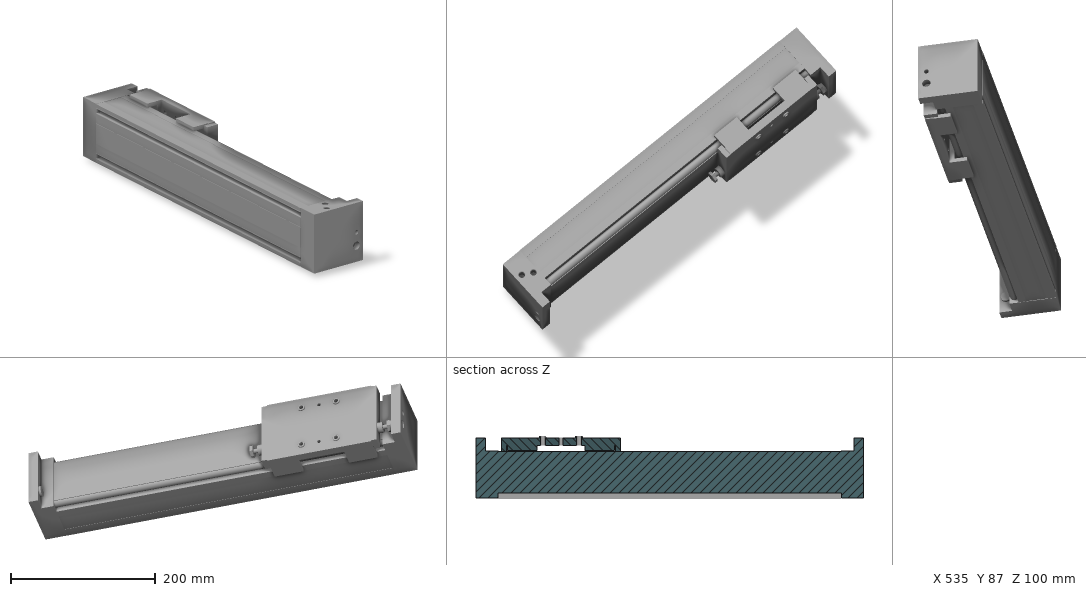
import cadquery as cq


base_length = 535.0
base_width = 88.0
mid_z = base_width / 2

cap_length = 31.0
cap_height = 84.0
cap_step_height = 66.0
upright_thickness = 13.5

band_bottom = -1.0
profile_top = 65.2
profile_length = base_length - 2 * cap_length
profile_inset = 0.3
band_height = 0.5
side_recess_depth = 0.4
profile_bottom = band_bottom + band_height
profile_low_z = profile_inset
profile_high_z = base_width - profile_inset
front_band_width = 30.4
side_recess_low = 13.0
side_recess_high = 42.0
slot_width = 7.6
slot_depth = 8.0
slot_offset = 33.8
lip_width = 0.6

guide_top = 64.3
guide_diameter = 11.4
guide_radius = guide_diameter / 2
guide_depth = 10.5
guide_y = guide_top - guide_radius
shoulder_y = guide_top - guide_diameter

stop_y = 73.8
stop_z = 24.0
stop_diameter = 15.0
pad_thickness = 3.0
stop_hole_diameter = 11.84
stop_hole_depth = 10.0
tapped_hole_y = 72.5
tapped_hole_z = mid_z
tapped_hole_diameter = 6.65
tapped_hole_depth = 10.0

port_places = [(base_length - 24.2, 37.0), (base_length - 9.8, 29.0)]
port_diameter = 8.57
port_mouth_diameter = 10.0
port_depth = 10.0
port_tip_depth = 4.0
port_chamfer = (port_mouth_diameter - port_diameter) / 2

carriage_center = 117.3
carriage_length = 150.0
carriage_overhang = 6.0
carriage_width = base_width + 2 * carriage_overhang
carriage_top = cap_height
bridge_bottom = 72.7
pad_bottom = 66.0
leg_bottom = 48.0
leg_length = 41.0
leg_offset = 53.5
end_plate_thickness = 7.6
end_plate_width = 97.0
end_plate_bottom = 65.3

sleeve_spacing_x = 50.0
sleeve_spacing_z = 66.0
sleeve_diameter = 10.0
sleeve_bore = 6.0
sleeve_height = 2.0
sleeve_chamfer = 0.5
carriage_tapped_diameter = 4.92

collar_length = 7.0
stem_diameter = 6.0
hex_length = 4.3
hex_across_flats = 15.0


def box(x_range, y_range, z_range):
    """Block between the given limits."""
    lows, highs = zip(x_range, y_range, z_range)
    sizes = [high - low for low, high in zip(lows, highs)]
    return cq.Workplane("XY").box(*sizes, centered=False).translate(lows)


def rod_x(x_start, length, y, z, diameter):
    """Cylinder along X."""
    return cq.Workplane("YZ", origin=(x_start, y, z)).circle(diameter / 2).extrude(length)


def mirror_ends(shape):
    """The shape with its copy at the other end of the base."""
    return shape.union(shape.mirror("YZ", (base_length / 2, 0, 0)))


def make_profile():
    """Extruded profile with lipped slots, a front band, side recesses and round guides."""
    x_range = (cap_length, base_length - cap_length)
    profile = box(x_range, (profile_bottom, shoulder_y), (profile_low_z, profile_high_z))
    neck = (guide_depth, base_width - guide_depth)
    profile = profile.union(box(x_range, (shoulder_y, profile_top), neck))
    for z in neck:
        profile = profile.union(rod_x(cap_length, profile_length, guide_y, z, guide_diameter))

    lip_outer_width = slot_width + 2 * lip_width
    for side in (-1, 1):
        z = mid_z + side * slot_offset
        lip_z = (z - lip_outer_width / 2, z + lip_outer_width / 2)
        profile = profile.union(box(x_range, (band_bottom, profile_bottom), lip_z))
        slot_z = (z - slot_width / 2, z + slot_width / 2)
        profile = profile.cut(box(x_range, (band_bottom, profile_bottom + slot_depth), slot_z))

    front_z = (mid_z - front_band_width / 2, mid_z + front_band_width / 2)
    profile = profile.union(box(x_range, (band_bottom, profile_bottom), front_z))
    side_y = (side_recess_low, side_recess_high)
    low_recess_z = (profile_low_z, profile_low_z + side_recess_depth)
    high_recess_z = (profile_high_z - side_recess_depth, profile_high_z)
    for recess_z in (low_recess_z, high_recess_z):
        profile = profile.cut(box(x_range, side_y, recess_z))
    return profile


def make_caps():
    """Two mirrored end caps with a raised upright and a stop pad."""
    z_range = (0, base_width)
    cap = box((0, cap_length), (0, cap_step_height), z_range)
    cap = cap.union(box((0, upright_thickness), (0, cap_height), z_range))
    cap = cap.union(rod_x(upright_thickness, pad_thickness, stop_y, stop_z, stop_diameter))
    cap = cap.cut(rod_x(0, stop_hole_depth, tapped_hole_y, stop_z, stop_hole_diameter))
    cap = cap.cut(rod_x(0, tapped_hole_depth, tapped_hole_y, tapped_hole_z, tapped_hole_diameter))
    return mirror_ends(cap)


def make_port(x, y):
    """Port cutter with a chamfered mouth and a drill tip, revolved about its axis."""
    radius = port_diameter / 2
    return (
        cq.Workplane("XZ", origin=(x, y, base_width))
        .lineTo(port_mouth_diameter / 2, 0)
        .lineTo(radius, -port_chamfer)
        .lineTo(radius, -port_depth)
        .lineTo(0, -port_depth - port_tip_depth)
        .close()
        .revolve(360, (0, 0, 0), (0, 1, 0))
    )


def make_base():
    """Profile and caps as one body."""
    base = make_profile().union(make_caps())
    for x, y in port_places:
        base = base.cut(make_port(x, y))
    return base


def make_stop_screw():
    """Collar, stem and hexagon head at the low-X end of the carriage."""
    plate_face = carriage_center - carriage_length / 2 - end_plate_thickness
    hex_start = upright_thickness + pad_thickness
    screw = rod_x(plate_face - collar_length, collar_length, stop_y, stop_z, stop_diameter)
    screw = screw.union(rod_x(hex_start, plate_face - hex_start, stop_y, stop_z, stem_diameter))
    head = (
        cq.Workplane("YZ", origin=(hex_start, stop_y, stop_z))
        .polygon(6, hex_across_flats, circumscribed=True)
        .extrude(hex_length)
    )
    return screw.union(head)


def make_carriage_half():
    """Low-X half of the carriage: plate, pad, two legs, end plate and stop screw."""
    low_z = -carriage_overhang
    high_z = low_z + carriage_width
    low_x = carriage_center - carriage_length / 2
    half = box((low_x, carriage_center), (bridge_bottom, carriage_top), (low_z, high_z))

    leg_center = carriage_center - leg_offset
    leg_x = (leg_center - leg_length / 2, leg_center + leg_length / 2)
    half = half.union(box(leg_x, (pad_bottom, bridge_bottom), (low_z, high_z)))
    for leg_z in ((low_z, 0), (base_width, high_z)):
        half = half.union(box(leg_x, (leg_bottom, bridge_bottom), leg_z))

    plate_z = (mid_z - end_plate_width / 2, mid_z + end_plate_width / 2)
    plate_x = (low_x - end_plate_thickness, low_x)
    half = half.union(box(plate_x, (end_plate_bottom, carriage_top), plate_z))
    return half.union(make_stop_screw())


def hole_y(x, z, diameter):
    """Cutter along Y through the carriage bridge and its sleeves."""
    plane = cq.Workplane("XZ", origin=(x, carriage_top + sleeve_height, z))
    return plane.circle(diameter / 2).extrude(carriage_top + sleeve_height - bridge_bottom)


def make_carriage():
    """Carriage with centring sleeves and threaded holes in its bridge."""
    half = make_carriage_half()
    carriage = half.union(half.mirror("YZ", (carriage_center, 0, 0)))
    for side_z in (-1, 1):
        z = mid_z + side_z * sleeve_spacing_z / 2
        for side_x in (-1, 1):
            x = carriage_center + side_x * sleeve_spacing_x / 2
            sleeve = cq.Workplane("XZ", origin=(x, carriage_top + sleeve_height, z))
            sleeve = sleeve.circle(sleeve_diameter / 2).extrude(sleeve_height)
            carriage = carriage.union(sleeve.faces(">Y").chamfer(sleeve_chamfer))
            carriage = carriage.cut(hole_y(x, z, sleeve_bore))
        carriage = carriage.cut(hole_y(carriage_center, z, carriage_tapped_diameter))
    return carriage


base = make_base()
carriage = make_carriage()
result = cq.Compound.makeCompound([base.val(), carriage.val()])